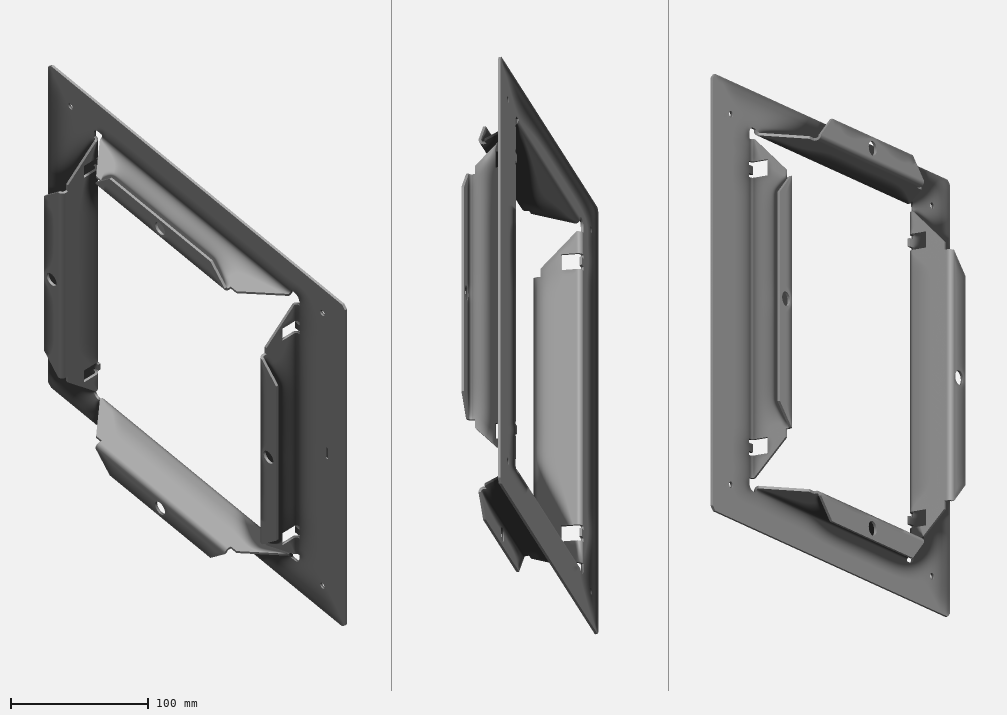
import cadquery as cq
import math

plate_size = 330.0
total_depth = 37.0
sheet = 2.0
bend_radius = sheet
fold = sheet + bend_radius
plate_corner = 3.3

opening_half_width = 109.2
opening_half_height = 132.3
corner_relief_radius = 5.0
wall_end_gap = 4.3

lip_reach = 19.8
wall_shoulder = 2.0
lip_end_step = 6.3
lip_hole_diameter = 11.0
lip_hole_offset = 11.2

window_middle = 105.0
window_length = 12.2
window_depth = 15.5
window_overcut = 1.3
notch_length = 3.0

mount_hole_diameter = 5.0
mount_hole_offset = 140.0
groove_offset = 145.0
groove_width = 2.3
groove_length = 11.2
groove_depth = 1.0

back = total_depth / 2
front = -back
plate_front = back - sheet
side_wall_half = opening_half_height - wall_end_gap
end_wall_half = opening_half_width - wall_end_gap


def block(x_range, y_range, z_range):
    """Box spanning the given ranges."""
    (x0, x1), (y0, y1), (z0, z1) = x_range, y_range, z_range
    return cq.Workplane("XY").box(x1 - x0, y1 - y0, z1 - z0, centered=False).translate((x0, y0, z0))


def through_plate(width, height):
    """Centred rectangular cutter through the plate."""
    return cq.Workplane("XZ").rect(width, height).extrude(total_depth, both=True)


def flange(inner, wall_half):
    """Wall and outward lip on the +X side, with the wall's inner face at x = inner."""
    outer = inner + sheet
    tangent = inner + fold
    lip_edge = inner + lip_reach
    lip_back = front + sheet
    diagonal = math.sqrt(0.5)
    inside = bend_radius * diagonal
    outside = fold * diagonal
    plate_fold_y = back - fold
    lip_fold_y = front + fold

    section = (
        cq.Workplane("XY")
        .moveTo(tangent, back)
        .threePointArc((tangent - outside, plate_fold_y + outside), (inner, plate_fold_y))
        .lineTo(inner, lip_fold_y)
        .threePointArc((tangent - outside, lip_fold_y - outside), (tangent, front))
        .lineTo(lip_edge, front)
        .lineTo(lip_edge, lip_back)
        .lineTo(tangent, lip_back)
        .threePointArc((tangent - inside, lip_fold_y - inside), (outer, lip_fold_y))
        .lineTo(outer, plate_fold_y)
        .threePointArc((tangent - inside, plate_fold_y + inside), (tangent, plate_front))
        .close()
        .extrude(wall_half, both=True)
    )

    shoulder_y = lip_fold_y + wall_shoulder
    slope_end = wall_half - (plate_fold_y - shoulder_y)
    lip_half = slope_end - lip_end_step
    wall_outline = (
        cq.Workplane("YZ")
        .polyline([
            (back, -wall_half), (plate_fold_y, -wall_half), (shoulder_y, -slope_end),
            (shoulder_y, -lip_half), (front, -lip_half), (front, lip_half),
            (shoulder_y, lip_half), (shoulder_y, slope_end), (plate_fold_y, wall_half),
            (back, wall_half),
        ])
        .close()
        .extrude(plate_size)
    )

    lip_edge_half = lip_half - (lip_edge - tangent)
    lip_outline = (
        cq.Workplane("XZ")
        .polyline([
            (inner, -wall_half), (tangent, -wall_half), (tangent, -lip_half),
            (lip_edge, -lip_edge_half), (lip_edge, lip_edge_half), (tangent, lip_half),
            (tangent, wall_half), (inner, wall_half),
        ])
        .close()
        .extrude(total_depth, both=True)
    )

    lip_hole = (
        cq.Workplane("XZ", origin=(inner + lip_hole_offset, lip_back, 0))
        .circle(lip_hole_diameter / 2)
        .extrude(sheet)
    )
    return section.intersect(wall_outline).intersect(lip_outline).cut(lip_hole)


def plate():
    """Flat frame with corner reliefs, mounting holes and a short groove."""
    body = (
        cq.Workplane("XZ", origin=(0, back, 0))
        .rect(plate_size, plate_size)
        .extrude(sheet)
        .edges("|Y")
        .chamfer(plate_corner)
    )
    body = body.cut(through_plate(2 * opening_half_width, 2 * opening_half_height))
    body = body.cut(through_plate(2 * (opening_half_width + fold), 2 * side_wall_half))
    body = body.cut(through_plate(2 * end_wall_half, 2 * (opening_half_height + fold)))

    relief_width = 2 * (opening_half_width + corner_relief_radius)
    relief_height = 2 * (opening_half_height + corner_relief_radius)
    reliefs = (
        through_plate(relief_width, relief_height)
        .edges("|Y")
        .fillet(corner_relief_radius)
        .cut(through_plate(relief_width, 2 * side_wall_half))
        .cut(through_plate(2 * end_wall_half, relief_height))
    )
    mount_holes = (
        cq.Workplane("XZ")
        .rect(2 * mount_hole_offset, 2 * mount_hole_offset, forConstruction=True)
        .vertices()
        .circle(mount_hole_diameter / 2)
        .extrude(total_depth, both=True)
    )
    groove = (
        cq.Workplane("XZ", origin=(groove_offset, plate_front + groove_depth, 0))
        .rect(groove_width, groove_length)
        .extrude(groove_depth)
    )
    return body.cut(reliefs).cut(mount_holes).cut(groove)


def window_cutter(middle):
    """Window in the +X wall that also clears the plate fold."""
    half = window_length / 2
    return block(
        (opening_half_width, opening_half_width + fold + window_overcut),
        (back - window_depth, back),
        (middle - half, middle + half),
    )


def window_tab(middle):
    """Unfolded piece of plate left between the two relief notches of a window."""
    half = window_length / 2 - notch_length
    return block(
        (opening_half_width, opening_half_width + fold + window_overcut),
        (plate_front, back),
        (middle - half, middle + half),
    )


side_flange = flange(opening_half_width, side_wall_half)
end_flange = flange(opening_half_height, end_wall_half).rotate((0, 0, 0), (0, 1, 0), 90)

result = plate()
for side in (side_flange, end_flange):
    result = result.union(side).union(side.rotate((0, 0, 0), (0, 1, 0), 180))

for middle in (window_middle, -window_middle):
    cutter = window_cutter(middle)
    tab = window_tab(middle)
    result = result.cut(cutter).cut(cutter.mirror("YZ"))
    result = result.union(tab).union(tab.mirror("YZ"))